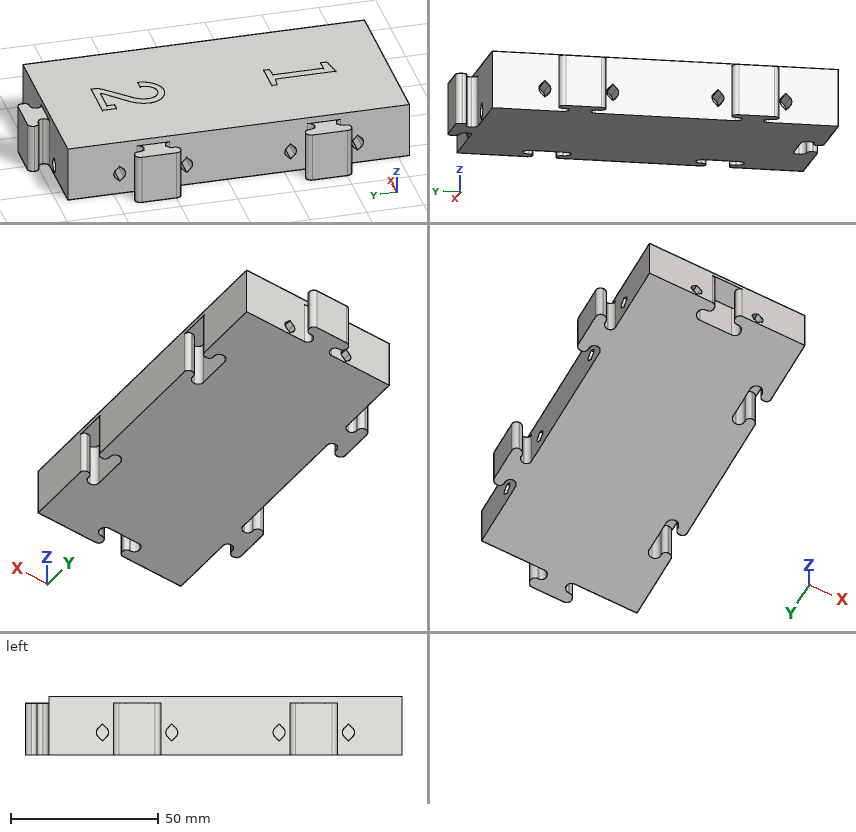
import cadquery as cq
import math

PITCH = 60.0
CELLS = 2
HEIGHT = 20.0

KEY_REACH = 7.9
KEY_HEIGHT = 17.7
NECK_LENGTH = KEY_REACH / 2
NECK_HALF_WIDTH = 3.8
HEAD_HALF_WIDTH = 8.0
KEY_RADIUS = 1.9
SOCKET_CLEARANCE = 0.3
SOCKET_HEADROOM = 0.4

HOLE_RADIUS = 2.0
HOLE_OFFSET = 11.8
LONG_HOLE_Z = 3.6
CROSS_HOLE_Z = 7.7
CROSS_HOLE_DEPTH = 10.0

INLAY_DEPTH = 1.0
NUMERAL_HALF_HEIGHT = 11.9
ONE_FOOT_HALF = 5.4
ONE_STEM_HALF = 1.5
ONE_SERIF_TIP_Y = 10.0
ONE_SERIF_ROOT_Y = 9.6
ONE_FLAG_TOP_Y = -8.0
ONE_FLAG_TIP_Y = -10.2
ONE_STEM_END_Y = -11.6
TWO_BAR_LEFT = -7.3
TWO_BAR_RIGHT = 7.8
TWO_BAR_EDGE_Y = 9.6
TWO_SERIF_RIGHT = -4.6
TWO_SERIF_END_Y = 6.9
TWO_BOWL_Y = -5.4
TWO_STROKE_END_Y = -4.6

LENGTH = CELLS * PITCH
CENTER_X = PITCH / 2
CELL_CENTERS_Y = [(cell + 0.5) * PITCH for cell in range(CELLS)]


def key_prism(height, clearance=0):
    """Key standing on Z = 0, growing along +Y from a wall on the X axis.

    The clearance grows the outline evenly, which turns the key into its socket.
    """
    reach = KEY_REACH + clearance
    head_half = HEAD_HALF_WIDTH + clearance
    head_radius = KEY_RADIUS + clearance
    neck_half = NECK_HALF_WIDTH + clearance
    neck_radius = KEY_RADIUS - clearance
    neck_length = NECK_LENGTH - clearance
    return (
        cq.Workplane("XY")
        .moveTo(-neck_half - neck_radius, 0)
        .radiusArc((-neck_half, neck_radius), -neck_radius)
        .lineTo(-neck_half, neck_length - neck_radius)
        .radiusArc((-neck_half - neck_radius, neck_length), -neck_radius)
        .lineTo(-head_half + head_radius, neck_length)
        .radiusArc((-head_half, neck_length + head_radius), head_radius)
        .lineTo(-head_half, reach - head_radius)
        .radiusArc((-head_half + head_radius, reach), head_radius)
        .lineTo(0, reach)
        .mirrorY()
        .extrude(height)
    )


def place_on_walls(prism, end_y, side_x):
    """Copies of a key or socket: one on an end wall, one per cell on a side wall."""
    side_prism = prism.rotate((0, 0, 0), (0, 0, 1), 90)
    end_copy = prism.translate((CENTER_X, end_y, 0))
    side_copies = [side_prism.translate((side_x, y, 0)) for y in CELL_CENTERS_Y]
    return [end_copy] + side_copies


def pointed_hole(depth):
    """Hole running along +Y from the origin, pointed above and below."""
    tip = HOLE_RADIUS * math.sqrt(2)
    tangent = HOLE_RADIUS / math.sqrt(2)
    return (
        cq.Workplane("XZ")
        .moveTo(0, tip)
        .lineTo(tangent, tangent)
        .threePointArc((HOLE_RADIUS, 0), (tangent, -tangent))
        .lineTo(0, -tip)
        .lineTo(-tangent, -tangent)
        .threePointArc((-HOLE_RADIUS, 0), (-tangent, tangent))
        .close()
        .extrude(-depth)
    )


def inlay_plane(cell):
    """Floor of the inlay pocket, with its origin on the cell centre."""
    return cq.Workplane("XY", origin=(CENTER_X, CELL_CENTERS_Y[cell], HEIGHT - INLAY_DEPTH))


def make_numeral_one():
    """Numeral standing on its head: foot serif at +Y, flag at -Y."""
    outline = [
        (-ONE_FOOT_HALF, NUMERAL_HALF_HEIGHT),
        (ONE_FOOT_HALF, NUMERAL_HALF_HEIGHT),
        (ONE_FOOT_HALF, ONE_SERIF_TIP_Y),
        (ONE_STEM_HALF, ONE_SERIF_ROOT_Y),
        (ONE_STEM_HALF, ONE_FLAG_TOP_Y),
        (ONE_FOOT_HALF, ONE_FLAG_TOP_Y),
        (ONE_FOOT_HALF, ONE_FLAG_TIP_Y),
        (-ONE_STEM_HALF, ONE_STEM_END_Y),
        (-ONE_STEM_HALF, ONE_SERIF_ROOT_Y),
        (-ONE_FOOT_HALF, ONE_SERIF_TIP_Y),
    ]
    return inlay_plane(0).polyline(outline).close().extrude(INLAY_DEPTH)


def make_numeral_two():
    """Numeral standing on its head: base bar at +Y, bowl at -Y."""
    return (
        inlay_plane(1)
        .moveTo(TWO_BAR_LEFT, NUMERAL_HALF_HEIGHT)
        .lineTo(TWO_BAR_RIGHT, NUMERAL_HALF_HEIGHT)
        .lineTo(TWO_BAR_RIGHT, 10.2)
        .lineTo(7.2, 8.7)
        .lineTo(-0.6, 0.4)
        .threePointArc((-2.7, -2.2), (-3.5, TWO_BOWL_Y))
        .threePointArc((0.8, -9.6), (5.0, TWO_STROKE_END_Y))
        .lineTo(8.2, TWO_STROKE_END_Y)
        .threePointArc((0.9, -NUMERAL_HALF_HEIGHT), (-6.5, TWO_BOWL_Y))
        .threePointArc((-5.8, -1.7), (-3.5, 1.7))
        .lineTo(4.1, 9.2)
        .lineTo(4.1, TWO_BAR_EDGE_Y)
        .lineTo(TWO_SERIF_RIGHT, TWO_BAR_EDGE_Y)
        .lineTo(TWO_SERIF_RIGHT, TWO_SERIF_END_Y)
        .lineTo(TWO_BAR_LEFT, TWO_SERIF_END_Y)
        .close()
        .extrude(INLAY_DEPTH)
    )


def make_tile(inlays):
    tile = cq.Workplane("XY").box(PITCH, LENGTH, HEIGHT, centered=False)

    key = key_prism(KEY_HEIGHT)
    for placed_key in place_on_walls(key, LENGTH, 0):
        tile = tile.union(placed_key)

    socket = key_prism(KEY_HEIGHT + SOCKET_HEADROOM, SOCKET_CLEARANCE)
    for placed_socket in place_on_walls(socket, 0, PITCH):
        tile = tile.cut(placed_socket)

    long_hole = pointed_hole(LENGTH)
    cross_hole = pointed_hole(CROSS_HOLE_DEPTH).rotate((0, 0, 0), (0, 0, 1), -90)
    for offset in (-HOLE_OFFSET, HOLE_OFFSET):
        tile = tile.cut(long_hole.translate((CENTER_X + offset, 0, LONG_HOLE_Z)))
        for y in CELL_CENTERS_Y:
            tile = tile.cut(cross_hole.translate((0, y + offset, CROSS_HOLE_Z)))

    for inlay in inlays:
        tile = tile.cut(inlay)
    return tile


numeral_one = make_numeral_one()
numeral_two = make_numeral_two()
tile = make_tile([numeral_one, numeral_two])

result = cq.Compound.makeCompound([tile.val(), numeral_one.val(), numeral_two.val()])